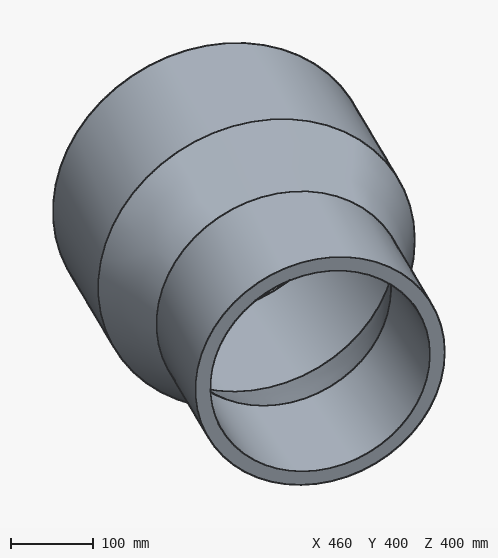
import cadquery as cq

total_length = 460.0
large_length = 191.5
small_length = 164.5
large_outer_radius = 400.0 / 2
large_bore_radius = 353.0 / 2
small_outer_radius = 315.0 / 2
small_bore_radius = 277.5 / 2

taper_start = large_length
taper_end = total_length - small_length


def revolved_body(large_radius, small_radius):
    """Solid with a wide end, a conical taper and a narrow end."""
    return (
        cq.Workplane("XY")
        .moveTo(0, 0)
        .lineTo(0, large_radius)
        .lineTo(taper_start, large_radius)
        .lineTo(taper_end, small_radius)
        .lineTo(total_length, small_radius)
        .lineTo(total_length, 0)
        .close()
        .revolve(360, (0, 0, 0), (1, 0, 0))
    )


outer_body = revolved_body(large_outer_radius, small_outer_radius)
bore = revolved_body(large_bore_radius, small_bore_radius)
result = outer_body.cut(bore)